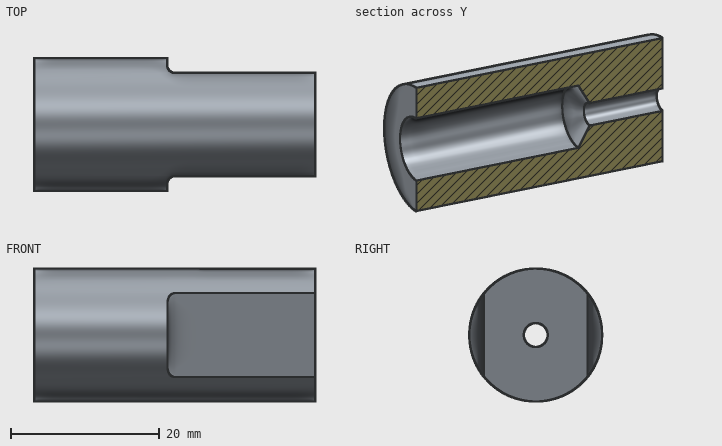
import cadquery as cq
import math

length = 38.0
body_diameter = 18.0

flat_length = 20.0
across_flats = 14.0
flat_fillet = 1.0

bore_diameter = 9.0
bore_depth = 25.0
bore_tip_angle = 118.0
pilot_diameter = 3.2

body_radius = body_diameter / 2
bore_radius = bore_diameter / 2
pilot_radius = pilot_diameter / 2


def make_body():
    return cq.Workplane("YZ").circle(body_radius).extrude(length)


def make_flat_cutter(side):
    """Block removed outside one flat; side is +1 or -1 along Y."""
    cutter_depth = body_diameter
    cutter = cq.Workplane("XY").box(
        2 * flat_length, cutter_depth, 2 * body_diameter
    )
    cutter = cutter.edges("<X and " + ("<Y" if side > 0 else ">Y")).fillet(flat_fillet)
    return cutter.translate((length, side * (across_flats + cutter_depth) / 2, 0))


def make_bore():
    tip_length = (bore_radius - pilot_radius) / math.tan(math.radians(bore_tip_angle / 2))
    profile = (
        cq.Workplane("XY")
        .lineTo(0, bore_radius)
        .lineTo(bore_depth, bore_radius)
        .lineTo(bore_depth + tip_length, pilot_radius)
        .lineTo(length, pilot_radius)
        .lineTo(length, 0)
        .close()
    )
    return profile.revolve(360, (0, 0, 0), (1, 0, 0))


result = make_body()
for flat_side in (1, -1):
    result = result.cut(make_flat_cutter(flat_side))
result = result.cut(make_bore())